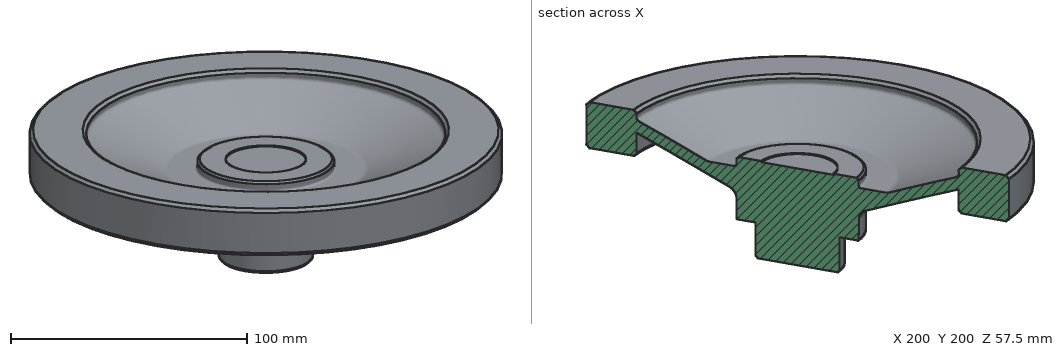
import math

import cadquery as cq


rim_diameter = 200.0
rim_bore_diameter = 152.0
hub_diameter = 58.0
shaft_diameter = 40.0
hub_recess_diameter = 34.0

shaft_length = 16.0
hub_length = 28.5
rim_width = 21.0
overall_height = 57.5
hub_bottom = shaft_length
hub_top = hub_bottom + hub_length
rim_top = overall_height
rim_bottom = rim_top - rim_width
hub_rise = 4.4

web_angle = math.radians(21.2)
upper_cone_rim_depth = 4.4
web_thickness = 6.0
dish_floor = hub_top - hub_rise

rim_chamfer = 1.5
shaft_chamfer = 1.2
hub_lower_chamfer = 0.5
hub_upper_chamfer = 1.0
hub_foot_fillet = 1.0
web_fillet = 5.0
rim_corner_fillet = 1.7
hub_recess_depth = 0.5

rim_radius = rim_diameter / 2
rim_bore_radius = rim_bore_diameter / 2
hub_radius = hub_diameter / 2
shaft_radius = shaft_diameter / 2
web_slope = math.tan(web_angle)
upper_cone_at_rim = rim_top - upper_cone_rim_depth
lower_cone_at_rim = upper_cone_at_rim - web_thickness
lower_cone_at_hub = lower_cone_at_rim - (rim_bore_radius - hub_radius) * web_slope
dish_floor_radius = rim_bore_radius - (upper_cone_at_rim - dish_floor) / web_slope


def turned_body():
    """Half section with sharp corners, revolved about Z."""
    section = [
        (0, 0),
        (shaft_radius, 0),
        (shaft_radius, hub_bottom),
        (hub_radius, hub_bottom),
        (hub_radius, lower_cone_at_hub),
        (rim_bore_radius, lower_cone_at_rim),
        (rim_bore_radius, rim_bottom),
        (rim_radius, rim_bottom),
        (rim_radius, rim_top),
        (rim_bore_radius, rim_top),
        (rim_bore_radius, upper_cone_at_rim),
        (dish_floor_radius, dish_floor),
        (hub_radius, dish_floor),
        (hub_radius, hub_top),
        (0, hub_top),
    ]
    return cq.Workplane("XZ").polyline(section).close().revolve(360, (0, 0), (0, 1))


def circular_edge(body, radius, height):
    """Select the circular edge of the given radius at the given height."""
    tolerance = 1e-4

    def matches(edge):
        if edge.geomType() != "CIRCLE":
            return False
        same_height = abs(edge.Center().z - height) < tolerance
        same_radius = abs(edge.radius() - radius) < tolerance
        return same_height and same_radius

    return body.newObject([edge for edge in body.edges().vals() if matches(edge)])


def chamfer_edges(body):
    """Break the outer corners of the rim, hub and shaft."""
    chamfers = [
        (rim_radius, rim_top, rim_chamfer),
        (rim_radius, rim_bottom, rim_chamfer),
        (rim_bore_radius, rim_top, rim_chamfer),
        (rim_bore_radius, rim_bottom, rim_chamfer),
        (hub_radius, hub_top, hub_upper_chamfer),
        (hub_radius, hub_bottom, hub_lower_chamfer),
        (shaft_radius, 0, shaft_chamfer),
    ]
    for radius, height, size in chamfers:
        body = circular_edge(body, radius, height).chamfer(size)
    return body


def fillet_corners(body):
    """Round the inside corners of the dish and the foot of the web."""
    fillets = [
        (rim_bore_radius, upper_cone_at_rim, rim_corner_fillet),
        (dish_floor_radius, dish_floor, web_fillet),
        (hub_radius, dish_floor, hub_foot_fillet),
        (hub_radius, lower_cone_at_hub, web_fillet),
    ]
    for radius, height, size in fillets:
        body = circular_edge(body, radius, height).fillet(size)
    return body


def cut_hub_recess(body):
    """Sink a shallow round recess into the top face of the hub."""
    recess = (
        cq.Workplane("XY")
        .workplane(offset=hub_top - hub_recess_depth)
        .circle(hub_recess_diameter / 2)
        .extrude(hub_recess_depth)
    )
    return body.cut(recess)


result = cut_hub_recess(fillet_corners(chamfer_edges(turned_body())))